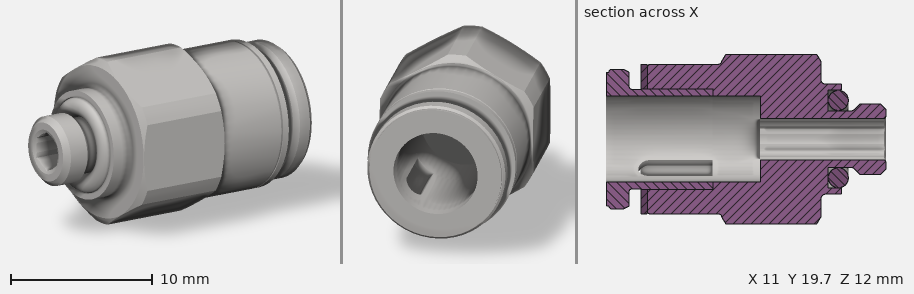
import cadquery as cq
import math

OVERALL_LENGTH = 19.7

TIP_RADIUS = 2.5
TIP_CHAMFER = 0.4
TIP_SHOULDER_Y = 1.83
NECK_RADIUS = 2.0
NECK_FILLET = 0.35
COUNTERSINK_RADIUS = 1.6
COUNTERSINK_ANGLE = 130.0
KEY_ACROSS_FLATS = 2.5
FLOW_BORE_RADIUS = 1.3

SEAL_OUTER_RADIUS = 3.45
SEAL_SECTION_RADIUS = (SEAL_OUTER_RADIUS - NECK_RADIUS) / 2
SEAL_CENTRE_RADIUS = (SEAL_OUTER_RADIUS + NECK_RADIUS) / 2
SEAL_FRONT_Y = 2.64
RECESS_FLOOR_Y = SEAL_FRONT_Y + 2 * SEAL_SECTION_RADIUS

SHOULDER_RADIUS = 3.9
SHOULDER_Y = 3.11
SHOULDER_FILLET = 0.3

HEX_ACROSS_FLATS = 11.0
HEX_CORNER_DIAMETER = 12.0
HEX_CORNER_RADIUS = HEX_CORNER_DIAMETER / 2
HEX_START_Y = 4.57
HEX_END_Y = 11.6
HEX_CHAMFER_LENGTH = 0.32

SLEEVE_RADIUS = 5.3
SLEEVE_FILLET = 0.18
SLEEVE_END_Y = 16.82
SLEEVE_CHAMFER = 0.08
SLEEVE_CHAMFER_LENGTH = 0.18
HEX_FACE_RADIUS = SLEEVE_RADIUS + SLEEVE_FILLET

CAP_END_Y = 17.3

COLLAR_NECK_RADIUS = 3.53
COLLAR_NECK_FILLET = 0.18
COLLAR_START_Y = 12.21
TUBE_RADIUS = 3.01
TUBE_STOP_Y = 8.86
FLANGE_RADIUS = 4.95
FLANGE_START_Y = 18.08
FLANGE_START_RADIUS = 4.73
FLANGE_TAPER_END_Y = 18.52
FLANGE_CHAMFER = 0.15
RIM_RADIUS = 4.73
RIM_HEIGHT = 0.15
FLANGE_END_Y = OVERALL_LENGTH - RIM_HEIGHT
SLOT_WIDTH = 1.58
SLOT_END_Y = 17.43
SLOT_ANGLE = 45.0

ARC_MIDDLE = math.sin(math.radians(45))


def revolve_about_y(profile):
    """Turn a closed (radius, Y) profile once about the Y axis."""
    return profile.close().revolve(360, (0, 0, 0), (0, 1, 0))


def cylinder(radius, start_y, end_y):
    """Solid cylinder on the Y axis."""
    return cq.Workplane("XZ", origin=(0, start_y, 0)).circle(radius).extrude(start_y - end_y)


def hexagon(across_flats, start_y, end_y):
    """Hexagonal prism on the Y axis with two flats facing +X and -X."""
    across_corners = across_flats / math.cos(math.radians(30))
    return (
        cq.Workplane("XZ", origin=(0, start_y, 0))
        .transformed(rotate=(0, 0, 90))
        .polygon(6, across_corners)
        .extrude(start_y - end_y)
    )


def hex_section():
    """Hexagon with turned corners and a conical chamfer at each end."""
    envelope = revolve_about_y(
        cq.Workplane("XY")
        .moveTo(0, HEX_START_Y)
        .lineTo(HEX_FACE_RADIUS, HEX_START_Y)
        .lineTo(HEX_CORNER_RADIUS, HEX_START_Y + HEX_CHAMFER_LENGTH)
        .lineTo(HEX_CORNER_RADIUS, HEX_END_Y - HEX_CHAMFER_LENGTH)
        .lineTo(HEX_FACE_RADIUS, HEX_END_Y)
        .lineTo(0, HEX_END_Y)
    )
    return hexagon(HEX_ACROSS_FLATS, HEX_START_Y, HEX_END_Y).intersect(envelope)


def turned_front():
    """Threaded tip, necked relief, seal recess and shoulder, up to the hexagon."""
    cone_end_y = TIP_SHOULDER_Y + TIP_RADIUS - NECK_RADIUS
    half_turn = math.radians(45) / 2
    tangent_length = NECK_FILLET * math.tan(half_turn)
    cone_tangent = tangent_length * math.sin(2 * half_turn)
    neck_fillet_end_y = cone_end_y + tangent_length
    neck_arc_middle = (
        NECK_RADIUS + NECK_FILLET * (1 - math.cos(half_turn)),
        neck_fillet_end_y - NECK_FILLET * math.sin(half_turn),
    )
    shoulder_arc_middle = (
        SHOULDER_RADIUS + SHOULDER_FILLET * (1 - ARC_MIDDLE),
        HEX_START_Y - SHOULDER_FILLET * (1 - ARC_MIDDLE),
    )
    return revolve_about_y(
        cq.Workplane("XY")
        .moveTo(0, 0)
        .lineTo(TIP_RADIUS - TIP_CHAMFER, 0)
        .lineTo(TIP_RADIUS, TIP_CHAMFER)
        .lineTo(TIP_RADIUS, TIP_SHOULDER_Y)
        .lineTo(NECK_RADIUS + cone_tangent, cone_end_y - cone_tangent)
        .threePointArc(neck_arc_middle, (NECK_RADIUS, neck_fillet_end_y))
        .lineTo(NECK_RADIUS, RECESS_FLOOR_Y)
        .lineTo(SEAL_OUTER_RADIUS, RECESS_FLOOR_Y)
        .lineTo(SEAL_OUTER_RADIUS, SHOULDER_Y)
        .lineTo(SHOULDER_RADIUS, SHOULDER_Y)
        .lineTo(SHOULDER_RADIUS, HEX_START_Y - SHOULDER_FILLET)
        .threePointArc(shoulder_arc_middle, (SHOULDER_RADIUS + SHOULDER_FILLET, HEX_START_Y))
        .lineTo(0, HEX_START_Y)
    )


def sleeve():
    """Round sleeve with a fillet at its root and a chamfer at its end."""
    root_arc_middle = (
        SLEEVE_RADIUS + SLEEVE_FILLET * (1 - ARC_MIDDLE),
        HEX_END_Y + SLEEVE_FILLET * (1 - ARC_MIDDLE),
    )
    return revolve_about_y(
        cq.Workplane("XY")
        .moveTo(0, HEX_END_Y)
        .lineTo(HEX_FACE_RADIUS, HEX_END_Y)
        .threePointArc(root_arc_middle, (SLEEVE_RADIUS, HEX_END_Y + SLEEVE_FILLET))
        .lineTo(SLEEVE_RADIUS, SLEEVE_END_Y - SLEEVE_CHAMFER_LENGTH)
        .lineTo(SLEEVE_RADIUS - SLEEVE_CHAMFER, SLEEVE_END_Y)
        .lineTo(0, SLEEVE_END_Y)
    )


def countersink():
    """Shallow cone that opens the key socket at the tip."""
    cone_depth = COUNTERSINK_RADIUS / math.tan(math.radians(COUNTERSINK_ANGLE / 2))
    return revolve_about_y(
        cq.Workplane("XY")
        .moveTo(0, 0)
        .lineTo(COUNTERSINK_RADIUS, 0)
        .lineTo(0, cone_depth)
    )


def make_housing():
    """One-piece housing with key socket, flow bore, tube socket and collar bore."""
    outside = turned_front().union(hex_section()).union(sleeve())
    return (
        outside
        .cut(hexagon(KEY_ACROSS_FLATS, 0, TUBE_STOP_Y))
        .cut(cylinder(FLOW_BORE_RADIUS, 0, TUBE_STOP_Y))
        .cut(countersink())
        .cut(cylinder(TUBE_RADIUS, TUBE_STOP_Y, COLLAR_START_Y))
        .cut(cylinder(COLLAR_NECK_RADIUS, COLLAR_START_Y, SLEEVE_END_Y))
    )


def make_seal_ring():
    """Round-section ring around the neck."""
    centre_y = SEAL_FRONT_Y + SEAL_SECTION_RADIUS
    return (
        cq.Workplane("XY")
        .center(SEAL_CENTRE_RADIUS, centre_y)
        .circle(SEAL_SECTION_RADIUS)
        .revolve(360, (-SEAL_CENTRE_RADIUS, 0, 0), (-SEAL_CENTRE_RADIUS, 1, 0))
    )


def make_cap_ring():
    """Plain ring that closes the sleeve around the release collar."""
    return cylinder(SLEEVE_RADIUS, SLEEVE_END_Y, CAP_END_Y).cut(
        cylinder(COLLAR_NECK_RADIUS, SLEEVE_END_Y, CAP_END_Y)
    )


def collar_slot():
    """Round-ended slot through both walls of the collar, open at its inner end."""
    slot_radius = SLOT_WIDTH / 2
    round_start_y = SLOT_END_Y - slot_radius
    return (
        cq.Workplane("XY")
        .moveTo(-slot_radius, COLLAR_START_Y)
        .lineTo(slot_radius, COLLAR_START_Y)
        .lineTo(slot_radius, round_start_y)
        .threePointArc((0, SLOT_END_Y), (-slot_radius, round_start_y))
        .close()
        .extrude(FLANGE_RADIUS, both=True)
        .rotate((0, 0, 0), (0, 1, 0), -SLOT_ANGLE)
    )


def make_release_collar():
    """Slotted collar with a push flange and a low raised rim on its end face."""
    neck_arc_middle = (
        COLLAR_NECK_RADIUS + COLLAR_NECK_FILLET * (1 - ARC_MIDDLE),
        FLANGE_START_Y - COLLAR_NECK_FILLET * (1 - ARC_MIDDLE),
    )
    body = revolve_about_y(
        cq.Workplane("XY")
        .moveTo(TUBE_RADIUS, COLLAR_START_Y)
        .lineTo(COLLAR_NECK_RADIUS, COLLAR_START_Y)
        .lineTo(COLLAR_NECK_RADIUS, FLANGE_START_Y - COLLAR_NECK_FILLET)
        .threePointArc(neck_arc_middle, (COLLAR_NECK_RADIUS + COLLAR_NECK_FILLET, FLANGE_START_Y))
        .lineTo(FLANGE_START_RADIUS, FLANGE_START_Y)
        .lineTo(FLANGE_RADIUS, FLANGE_TAPER_END_Y)
        .lineTo(FLANGE_RADIUS, FLANGE_END_Y - FLANGE_CHAMFER)
        .lineTo(FLANGE_RADIUS - FLANGE_CHAMFER, FLANGE_END_Y)
        .lineTo(RIM_RADIUS, FLANGE_END_Y)
        .lineTo(RIM_RADIUS, OVERALL_LENGTH)
        .lineTo(TUBE_RADIUS, OVERALL_LENGTH)
    )
    return body.cut(collar_slot())


housing = make_housing()
seal_ring = make_seal_ring()
cap_ring = make_cap_ring()
release_collar = make_release_collar()

result = cq.Compound.makeCompound(
    [body.solids().val() for body in (housing, seal_ring, cap_ring, release_collar)]
)